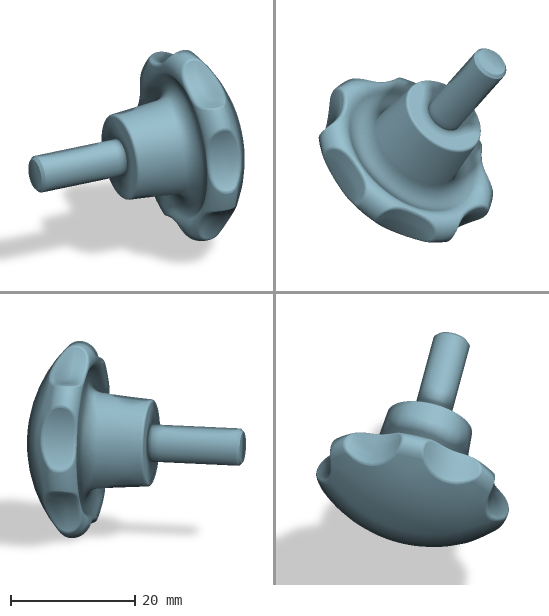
import cadquery as cq
import math

total_length = 35.0
head_height = 10.45
hub_end_depth = 20.02

head_radius = 16.0
rim_round = 2.52
groove_round = 2.5
groove_depth = 11.72

hub_end_radius = 7.0
hub_draft = math.radians(5)
hub_edge_round = 0.42
stud_radius = 3.0
stud_chamfer = 0.5

lobe_count = 7
scallop_radius = 9.0
valley_radius = 13.48
scallop_edge_round = 0.5


def point_on_arc(center, radius, angle):
    return (center[0] + radius * math.cos(angle), center[1] + radius * math.sin(angle))


def make_body():
    """Revolve the half section, a chain of tangent arcs from dome to hub."""
    rim_center = (head_radius - rim_round, rim_round - head_height)

    dome_radius = (rim_center[0] ** 2 + rim_center[1] ** 2 - rim_round ** 2) / (
        -2 * (rim_center[1] + rim_round)
    )
    dome_center = (0, -dome_radius)
    dome_end_angle = math.atan2(rim_center[1] + dome_radius, rim_center[0])
    dome_end = point_on_arc(dome_center, dome_radius, dome_end_angle)
    dome_middle = point_on_arc(dome_center, dome_radius, (dome_end_angle + math.pi / 2) / 2)

    center_drop = rim_center[1] + groove_depth
    center_gap = math.sqrt((rim_round + groove_round) ** 2 - center_drop ** 2)
    groove_center = (rim_center[0] - center_gap, -groove_depth)
    touch_angle = math.atan2(center_drop, center_gap)
    rim_end = point_on_arc(groove_center, groove_round, touch_angle)
    rim_middle_angle = (dome_end_angle + touch_angle - math.pi) / 2
    rim_middle = point_on_arc(rim_center, rim_round, rim_middle_angle)

    hub_touch_angle = math.pi - hub_draft
    groove_middle = point_on_arc(groove_center, groove_round, (touch_angle + hub_touch_angle) / 2)
    hub_start = point_on_arc(groove_center, groove_round, hub_touch_angle)

    section = (
        cq.Workplane("XY")
        .threePointArc(dome_middle, dome_end)
        .threePointArc(rim_middle, rim_end)
        .threePointArc(groove_middle, hub_start)
        .lineTo(hub_end_radius, -hub_end_depth)
        .lineTo(0, -hub_end_depth)
        .close()
    )
    body = section.revolve(360, (0, 0, 0), (0, 1, 0))
    return body.faces("<Y").edges().fillet(hub_edge_round)


def cut_scallops(body):
    """Cut the scallops midway between lobes, with one lobe pointing to +Z."""
    cutters = (
        cq.Workplane("XZ")
        .polarArray(valley_radius + scallop_radius, -90, 360, lobe_count)
        .circle(scallop_radius)
        .extrude(hub_end_depth)
    )
    scalloped = body.cut(cutters)
    return scalloped.faces("%CYLINDER").edges().fillet(scallop_edge_round)


def make_stud():
    stud = cq.Workplane("XZ", origin=(0, -hub_end_depth, 0)).circle(stud_radius)
    stud = stud.extrude(total_length - hub_end_depth)
    return stud.faces("<Y").chamfer(stud_chamfer)


result = cut_scallops(make_body()).union(make_stud())